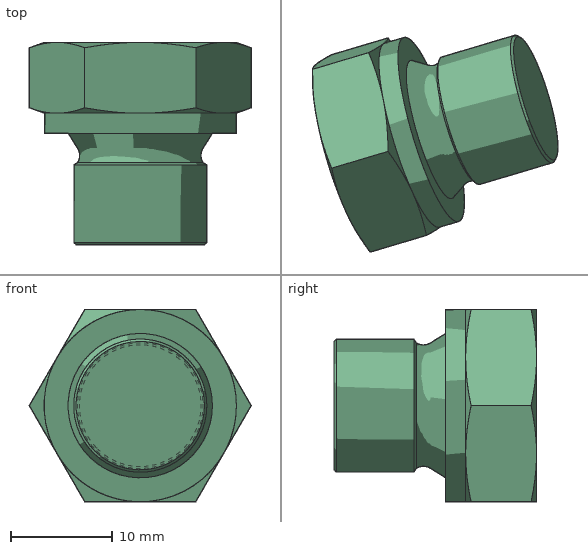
import cadquery as cq
import math

corner_diameter = 21.95
flat_radius = corner_diameter / 2 * math.cos(math.radians(30))
head_thickness = 7.0
head_chamfer_angle = 20.0

total_length = 20.0
flange_thickness = 2.0

shank_radius = 6.58
tip_chamfer = 0.25

cone_start_radius = 7.13
throat_radius = 6.01
throat_edge_radius = 6.2
throat_depth = 2.17
throat_half_width = 0.7
groove_length = 3.12

back_y = total_length / 2
tip_y = back_y - total_length
head_front_y = back_y - head_thickness
flange_y = head_front_y - flange_thickness
throat_y = flange_y - throat_depth


def revolve_about_y(profile):
    return profile.close().revolve(360, (0, 0, 0), (0, 1, 0))


def make_head():
    """Hexagonal prism with the corners coned off at both ends."""
    hexagon = (
        cq.Workplane("XZ", origin=(0, back_y, 0))
        .polygon(6, corner_diameter)
        .extrude(head_thickness)
    )
    envelope_radius = corner_diameter / 2 + 0.22
    cone_drop = (envelope_radius - flat_radius) * math.tan(math.radians(head_chamfer_angle))
    envelope = revolve_about_y(
        cq.Workplane("XY")
        .moveTo(0, back_y)
        .lineTo(flat_radius, back_y)
        .lineTo(envelope_radius, back_y - cone_drop)
        .lineTo(envelope_radius, head_front_y + cone_drop)
        .lineTo(flat_radius, head_front_y)
        .lineTo(0, head_front_y)
    )
    return hexagon.intersect(envelope)


def make_flange_and_shank():
    """Round flange, relief groove and chamfered shank as one turned body."""
    return revolve_about_y(
        cq.Workplane("XY")
        .moveTo(0, head_front_y)
        .lineTo(flat_radius, head_front_y)
        .lineTo(flat_radius, flange_y)
        .lineTo(cone_start_radius, flange_y)
        .lineTo(throat_edge_radius, throat_y + throat_half_width)
        .threePointArc(
            (throat_radius, throat_y),
            (throat_edge_radius, throat_y - throat_half_width),
        )
        .lineTo(shank_radius, flange_y - groove_length)
        .lineTo(shank_radius, tip_y + tip_chamfer)
        .lineTo(shank_radius - tip_chamfer, tip_y)
        .lineTo(0, tip_y)
    )


result = make_head().union(make_flange_and_shank())